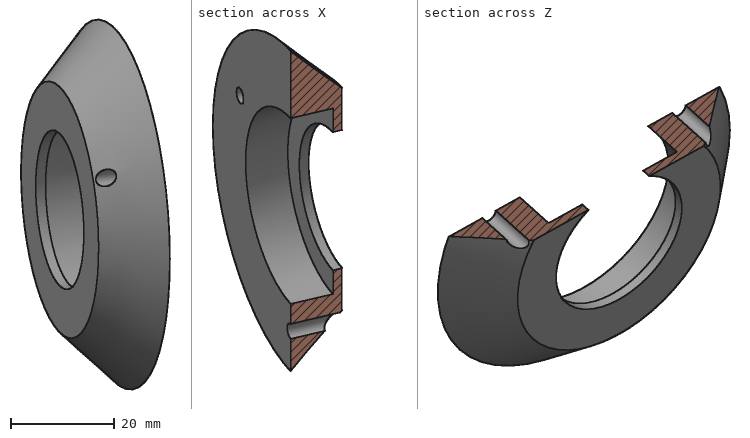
import cadquery as cq

outer_radius = 36.0
thickness = 11.0
face_radius = outer_radius - thickness
bore_radius = 15.5
lip_thickness = 2.0
recess_radius = 20.8
hole_diameter = 3.25
hole_circle_radius = 27.0
hole_count = 3
first_hole_angle = -90.0

front_y = -thickness / 2
back_y = thickness / 2
recess_floor_y = front_y + lip_thickness


def conical_ring():
    """Tapered ring with a central bore and a wider rear recess, revolved about Y."""
    profile = [
        (bore_radius, front_y),
        (face_radius, front_y),
        (outer_radius, back_y),
        (recess_radius, back_y),
        (recess_radius, recess_floor_y),
        (bore_radius, recess_floor_y),
    ]
    return cq.Workplane("XY").polyline(profile).close().revolve(360, (0, 0, 0), (0, 1, 0))


def screw_holes():
    """Through holes parallel to the ring axis, equally spaced."""
    return (
        cq.Workplane("XZ", origin=(0, back_y, 0))
        .polarArray(hole_circle_radius, first_hole_angle, 360, hole_count)
        .circle(hole_diameter / 2)
        .extrude(thickness)
    )


result = conical_ring().cut(screw_holes())